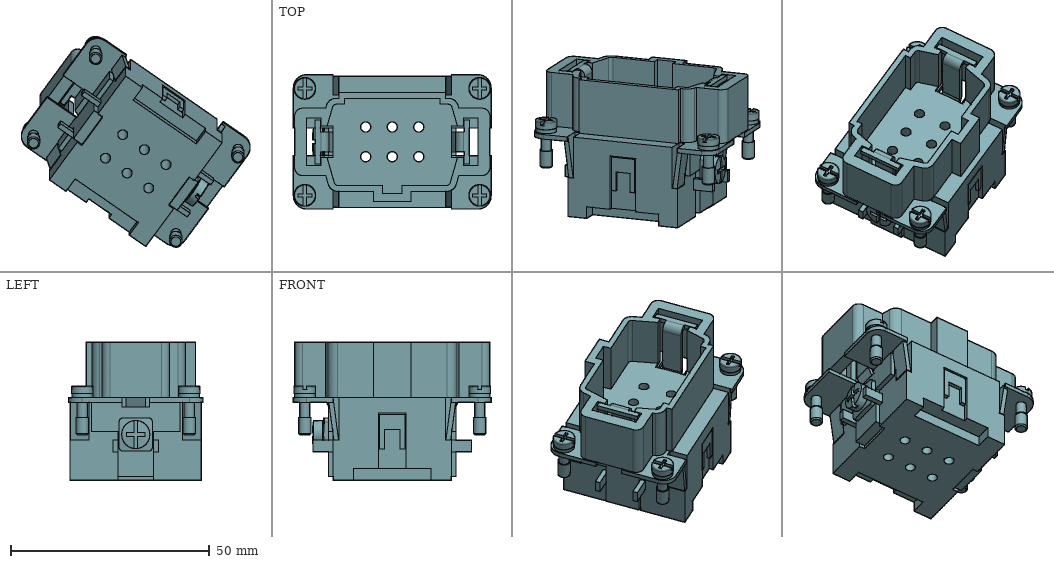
import cadquery as cq
import math

HOOD_TOP = 14.0
FLOOR_Z = 0.5
FLANGE_BOTTOM = -1.2
BODY_BOTTOM = -20.9

FLANGE_LENGTH = 50.0
FLANGE_WIDTH = 34.0
FLANGE_CORNER_RADIUS = 3.4
BODY_HALF_X = 14.95
BODY_HALF_Y = 16.6
PAD_X = 16.1
PAD_HALF_WIDTH = 11.2
PAD_BAR_BOTTOM = -8.55
STEM_HALF_WIDTH = 4.5
STEM_BOTTOM = -19.9
STEM_GROOVE_DEPTH = 1.5

HOOD_HALF_X = 24.65
HOOD_END_HALF_Y = 8.5
HOOD_END_RADIUS = 2.0
NECK_X = 16.8
WALL_SLANT = 0.287
HOOD_FRONT_Y = -12.5
HOOD_BACK_Y = 12.5
WALL = 1.5
SHOULDER_Y = HOOD_BACK_Y - WALL
SHOULDER_X = 13.5
SHOULDER_RADIUS = 2.5
KEY_HALF_X = 4.7
KEY_Y = -15.1

CAVITY_BACK_Y = HOOD_BACK_Y - WALL
CAVITY_SHOULDER_Y = CAVITY_BACK_Y - WALL
CAVITY_FRONT_Y = HOOD_FRONT_Y + WALL
CAVITY_STEP_X = SHOULDER_X - WALL
CAVITY_END_X = 16.45
CAVITY_END_HALF_Y = 4.0
CAVITY_RADIUS = 1.0
KEYWAY_HALF_X = 2.5
KEYWAY_Y = -13.05

WINDOW_INNER_X = 17.95
WINDOW_OUTER_X = 21.6
WINDOW_HALF_Y = 6.0
VENT_HALF_Y = 3.5
VENT_BOTTOM = -2.35

SPRING_HALF_Y = 2.5
SPRING_THICKNESS = 1.1
SPRING_FACE_X = 16.0
SPRING_NOSE_RADIUS = 2.0
BAR_INNER_X = 18.15
BAR_LENGTH = 11.1
BAR_OUTER_X = 19.5
BAR_HEIGHT = 1.2

CONTACT_COLUMNS = 3
CONTACT_ROWS = 2
CONTACT_DIAMETER = 2.5
CONTACT_PITCH_X = 6.7
CONTACT_PITCH_Y = 7.5

LEG_BOTTOM = -10.7
LEG_INNER_Y = 11.85
POCKET_X = 13.4
LEG_THICKNESS = 1.2
LEG_LEAN = 1.4
LEG_OUTER_Y = 16.45

RECESS_HALF_X = 3.5
RECESS_TOP = -3.9
RECESS_DEPTH = 1.1
CATCH_GAP = 0.32
CATCH_BOTTOM = -12.95
CATCH_HEIGHT = 0.9
CATCH_SLOT_HALF_X = 1.95
CATCH_SLOT_TOP = -8.0
CHANNEL_HALF_X = 9.8
CHANNEL_TOP = -17.85
CHANNEL_DEPTH = 4.0

LUG_TIP_X = 20.05
LUG_OUTER_Y = 5.75
LUG_TOP = -10.7
LUG_BOTTOM = -13.65

SCREW_X = 22.07
SCREW_Y = 13.5
HEAD_DIAMETER = 5.5
HEAD_TOP = 2.95
HEAD_EDGE_RADIUS = 0.2
WASHER_DIAMETER = 5.3
WASHER_HEIGHT = 1.0
SHANK_DIAMETER = 2.6
THREAD_DIAMETER = 3.15
THREAD_TOP = -4.95
THREAD_END = -9.4
THREAD_CHAMFER = 0.35
DRIVE_DEPTH = 0.9
DRIVE_SLOT_WIDTH = 0.88
DRIVE_CROSS_LENGTH = 3.5
DRIVE_CROSS_WIDTH = 0.75

EARTH_Z = -9.3
EARTH_PLATE_SIZE = 8.4
EARTH_PLATE_RADIUS = 1.0
EARTH_PLATE_THICKNESS = 1.5
EARTH_PLATE_DOME_RADIUS = 30.0
EARTH_SHANK_DIAMETER = 2.4
EARTH_HEAD_DIAMETER = 7.1
EARTH_RIM_HEIGHT = 2.3
EARTH_HEAD_HEIGHT = 2.6
EARTH_DRIVE_DEPTH = 1.4
EARTH_SLOT_WIDTH = 0.95
EARTH_CROSS_LENGTH = 4.7
EARTH_CROSS_WIDTH = 1.0

ENDS = (-1, 1)
SIDES = (-1, 1)


def block(x0, x1, y0, y1, z0, z1):
    """Box between two opposite corners; each pair may come in either order."""
    size = (abs(x1 - x0), abs(y1 - y0), abs(z1 - z0))
    return cq.Workplane("XY").box(*size).translate(((x0 + x1) / 2, (y0 + y1) / 2, (z0 + z1) / 2))


def rod(diameter, z0, z1):
    """Upright cylinder on the Z axis."""
    return cq.Workplane("XY").workplane(offset=z0).circle(diameter / 2).extrude(z1 - z0)


def at_each_end(shape):
    """The +X shape together with its mirror image at the -X end."""
    return shape.union(shape.mirror("YZ"))


def prism(points, z0, z1):
    """Closed polygon in XY, raised from z0 to z1."""
    return cq.Workplane("XY").workplane(offset=z0).polyline(points).close().extrude(z1 - z0)


def mirrored_outline(right_half):
    """Full outline from its +X half, listed from back to front."""
    return right_half + [(-x, y) for x, y in reversed(right_half)]


def make_flange():
    """Two end plates with rounded corners, one on each side of the body."""
    half_x = FLANGE_LENGTH / 2
    half_y = FLANGE_WIDTH / 2
    flange = block(-half_x, half_x, -half_y, half_y, FLANGE_BOTTOM, 0)
    flange = flange.edges("|Z").fillet(FLANGE_CORNER_RADIUS)
    gap = block(-BODY_HALF_X, BODY_HALF_X, -half_y, half_y, FLANGE_BOTTOM, 0)
    return flange.cut(gap)


def make_body():
    """Lower body with its end pads, lugs, corner pockets and side catches."""
    body = block(-BODY_HALF_X, BODY_HALF_X, -BODY_HALF_Y, BODY_HALF_Y, BODY_BOTTOM, 0)
    pad_bar = block(-PAD_X, PAD_X, -PAD_HALF_WIDTH, PAD_HALF_WIDTH, PAD_BAR_BOTTOM, 0)
    stem = block(-PAD_X, PAD_X, -STEM_HALF_WIDTH, STEM_HALF_WIDTH, STEM_BOTTOM, 0)
    body = body.union(pad_bar).union(stem)
    for end in ENDS:
        groove = block(end * (BODY_HALF_X - STEM_GROOVE_DEPTH), end * BODY_HALF_X,
                       -STEM_HALF_WIDTH, STEM_HALF_WIDTH, BODY_BOTTOM, STEM_BOTTOM)
        body = body.cut(groove)
        for side in SIDES:
            pocket = block(end * POCKET_X, end * BODY_HALF_X,
                           side * LEG_INNER_Y, side * BODY_HALF_Y, LEG_BOTTOM, 0)
            body = body.cut(pocket)
            lug = block(end * BODY_HALF_X, end * LUG_TIP_X,
                        side * STEM_HALF_WIDTH, side * LUG_OUTER_Y, LUG_BOTTOM, LUG_TOP)
            body = body.union(lug)
    for side in SIDES:
        channel = block(-CHANNEL_HALF_X, CHANNEL_HALF_X, side * (BODY_HALF_Y - CHANNEL_DEPTH),
                        side * BODY_HALF_Y, BODY_BOTTOM, CHANNEL_TOP)
        body = add_side_catch(body.cut(channel), side)
    return body


def add_side_catch(body, side):
    """Sink a recess into a long face and raise a U-shaped catch inside it."""
    face_y = side * BODY_HALF_Y
    floor_y = side * (BODY_HALF_Y - RECESS_DEPTH)
    catch_y = floor_y + side * CATCH_HEIGHT
    catch_half_x = RECESS_HALF_X - CATCH_GAP
    recess = block(-RECESS_HALF_X, RECESS_HALF_X, floor_y, face_y, CHANNEL_TOP, RECESS_TOP)
    catch = block(-catch_half_x, catch_half_x, floor_y, catch_y, CATCH_BOTTOM, RECESS_TOP - CATCH_GAP)
    slot = block(-CATCH_SLOT_HALF_X, CATCH_SLOT_HALF_X, floor_y, catch_y, CATCH_BOTTOM, CATCH_SLOT_TOP)
    return body.cut(recess).union(catch.cut(slot))


def make_legs():
    """Four slanted legs, bent down from the flange into the corner pockets."""
    top_x = BODY_HALF_X
    bottom_x = top_x - LEG_LEAN
    profile = [
        (top_x, 0),
        (top_x + LEG_THICKNESS, 0),
        (bottom_x + LEG_THICKNESS, LEG_BOTTOM),
        (bottom_x, LEG_BOTTOM),
    ]
    width = LEG_OUTER_Y - LEG_INNER_Y
    leg = cq.Workplane("XZ", origin=(0, LEG_OUTER_Y, 0)).polyline(profile).close().extrude(width)
    pair = leg.union(leg.mirror("XZ"))
    return at_each_end(pair)


def make_hood():
    """Solid hood: a core with slanted shoulders, end boxes and a front key."""
    front_x = NECK_X + WALL_SLANT * (HOOD_FRONT_Y + HOOD_END_HALF_Y)
    shoulder_x = NECK_X + WALL_SLANT * (HOOD_END_HALF_Y - SHOULDER_Y)
    half = [
        (shoulder_x, SHOULDER_Y),
        (NECK_X, HOOD_END_HALF_Y),
        (NECK_X, -HOOD_END_HALF_Y),
        (front_x, HOOD_FRONT_Y),
    ]
    core = prism(mirrored_outline(half), 0, HOOD_TOP)
    core = core.edges("|Z and >Y").fillet(SHOULDER_RADIUS)
    core = core.edges("|Z and <Y").fillet(SHOULDER_RADIUS)
    ends = block(-HOOD_HALF_X, HOOD_HALF_X, -HOOD_END_HALF_Y, HOOD_END_HALF_Y, 0, HOOD_TOP)
    ends = ends.edges("|Z").fillet(HOOD_END_RADIUS)
    back = block(-SHOULDER_X, SHOULDER_X, 0, HOOD_BACK_Y, 0, HOOD_TOP)
    key = block(-KEY_HALF_X, KEY_HALF_X, KEY_Y, 0, 0, HOOD_TOP)
    return core.union(ends).union(back).union(key)


def make_cavity():
    """Space inside the hood, above the contact floor."""
    front_x = CAVITY_END_X + WALL_SLANT * (CAVITY_FRONT_Y + CAVITY_END_HALF_Y)
    shoulder_x = CAVITY_END_X + WALL_SLANT * (CAVITY_END_HALF_Y - CAVITY_SHOULDER_Y)
    half = [
        (shoulder_x, CAVITY_SHOULDER_Y),
        (CAVITY_END_X, CAVITY_END_HALF_Y),
        (CAVITY_END_X, -CAVITY_END_HALF_Y),
        (front_x, CAVITY_FRONT_Y),
    ]
    cavity = prism(mirrored_outline(half), FLOOR_Z, HOOD_TOP)
    cavity = cavity.edges("|Z and >Y").fillet(CAVITY_RADIUS)
    cavity = cavity.edges("|Z and <Y").fillet(CAVITY_RADIUS)
    back = block(-CAVITY_STEP_X, CAVITY_STEP_X, 0, CAVITY_BACK_Y, FLOOR_Z, HOOD_TOP)
    keyway = block(-KEYWAY_HALF_X, KEYWAY_HALF_X, KEYWAY_Y, 0, FLOOR_Z, HOOD_TOP)
    return cavity.union(back).union(keyway)


def make_windows():
    """Latch window at each end, opening to the cavity and down past the flange."""
    window = block(WINDOW_INNER_X, WINDOW_OUTER_X, -WINDOW_HALF_Y, WINDOW_HALF_Y, 0, HOOD_TOP)
    doorway = block(BODY_HALF_X, WINDOW_INNER_X, -CAVITY_END_HALF_Y, CAVITY_END_HALF_Y, 0, HOOD_TOP)
    vent = block(BODY_HALF_X, FLANGE_LENGTH / 2, -VENT_HALF_Y, VENT_HALF_Y, VENT_BOTTOM, 0)
    return at_each_end(window.union(doorway).union(vent))


def make_springs():
    """Latch springs: a slanted foot on the body, an upright leaf and a rounded nose under a bar."""
    foot_x = BODY_HALF_X
    back_x = SPRING_FACE_X + SPRING_THICKNESS
    bar_bottom = HOOD_TOP - BAR_HEIGHT
    nose_x = SPRING_FACE_X + SPRING_NOSE_RADIUS
    nose_z = HOOD_TOP - SPRING_NOSE_RADIUS
    diagonal = SPRING_NOSE_RADIUS * math.sqrt(0.5)
    leaf = (
        cq.Workplane("XZ", origin=(0, SPRING_HALF_Y, 0))
        .moveTo(foot_x, VENT_BOTTOM)
        .lineTo(SPRING_FACE_X, 0)
        .lineTo(SPRING_FACE_X, nose_z)
        .threePointArc((nose_x - diagonal, nose_z + diagonal), (nose_x, HOOD_TOP))
        .lineTo(BAR_OUTER_X, HOOD_TOP)
        .lineTo(BAR_OUTER_X, bar_bottom)
        .lineTo(back_x, bar_bottom)
        .lineTo(back_x, 0)
        .lineTo(foot_x + SPRING_THICKNESS, VENT_BOTTOM)
        .close()
        .extrude(2 * SPRING_HALF_Y)
    )
    bar = block(BAR_INNER_X, BAR_OUTER_X, -BAR_LENGTH / 2, BAR_LENGTH / 2, bar_bottom, HOOD_TOP)
    return at_each_end(leaf.union(bar))


def cut_drive(head, diameter, top, depth, slot_width, cross_length, cross_width):
    """Slot right across a screw head along Y, crossed by a short slot along X."""
    slot = block(-slot_width / 2, slot_width / 2, -diameter / 2, diameter / 2, top - depth, top)
    cross = block(-cross_length / 2, cross_length / 2, -cross_width / 2, cross_width / 2, top - depth, top)
    return head.cut(slot).cut(cross)


def make_screw():
    """Captive mounting screw standing on the flange."""
    head = rod(HEAD_DIAMETER, WASHER_HEIGHT, HEAD_TOP).faces(">Z").edges().fillet(HEAD_EDGE_RADIUS)
    head = cut_drive(head, HEAD_DIAMETER, HEAD_TOP, DRIVE_DEPTH,
                     DRIVE_SLOT_WIDTH, DRIVE_CROSS_LENGTH, DRIVE_CROSS_WIDTH)
    washer = rod(WASHER_DIAMETER, 0, WASHER_HEIGHT)
    shank = rod(SHANK_DIAMETER, THREAD_TOP, WASHER_HEIGHT)
    thread = rod(THREAD_DIAMETER, THREAD_END, THREAD_TOP).faces("<Z").edges().chamfer(THREAD_CHAMFER)
    return head.union(washer).union(shank).union(thread)


def make_earth_terminal():
    """Domed clamp plate and crowned screw, built upright and turned to face -X."""
    seat_z = EARTH_PLATE_THICKNESS
    rim_z = seat_z + EARTH_RIM_HEIGHT
    crown_z = seat_z + EARTH_HEAD_HEIGHT
    plate = cq.Workplane("XY").rect(EARTH_PLATE_SIZE, EARTH_PLATE_SIZE).extrude(seat_z)
    plate = plate.edges("|Z").fillet(EARTH_PLATE_RADIUS)
    dome_center = (0, 0, seat_z - EARTH_PLATE_DOME_RADIUS)
    dome = cq.Workplane("XY").sphere(EARTH_PLATE_DOME_RADIUS).translate(dome_center)
    plate = plate.intersect(dome)
    shank = rod(EARTH_SHANK_DIAMETER, 0, seat_z)
    radius = EARTH_HEAD_DIAMETER / 2
    crown_height = crown_z - rim_z
    crown_radius = (radius ** 2 + crown_height ** 2) / (2 * crown_height)
    half_x = radius / 2
    half_z = crown_z - crown_radius + math.sqrt(crown_radius ** 2 - half_x ** 2)
    head = (
        cq.Workplane("XZ")
        .moveTo(0, seat_z)
        .lineTo(radius, seat_z)
        .lineTo(radius, rim_z)
        .threePointArc((half_x, half_z), (0, crown_z))
        .close()
        .revolve(360, (0, 0, 0), (0, 1, 0))
    )
    head = cut_drive(head, EARTH_HEAD_DIAMETER, crown_z, EARTH_DRIVE_DEPTH,
                     EARTH_SLOT_WIDTH, EARTH_CROSS_LENGTH, EARTH_CROSS_WIDTH)
    terminal = plate.union(shank.union(head))
    terminal = terminal.rotate((0, 0, 0), (0, 0, 1), 90).rotate((0, 0, 0), (0, 1, 0), -90)
    return terminal.translate((-PAD_X, 0, EARTH_Z))


def make_contact_holes():
    """Two rows of contact holes, right through the floor and body."""
    holes = cq.Workplane("XY").workplane(offset=BODY_BOTTOM)
    holes = holes.rarray(CONTACT_PITCH_X, CONTACT_PITCH_Y, CONTACT_COLUMNS, CONTACT_ROWS)
    return holes.circle(CONTACT_DIAMETER / 2).extrude(HOOD_TOP - BODY_BOTTOM)


def build():
    """The complete insert, joined into one solid."""
    part = make_body().union(make_flange()).union(make_hood()).union(make_legs())
    part = part.cut(make_cavity()).cut(make_windows()).cut(make_contact_holes())
    part = part.union(make_springs())
    screw = make_screw()
    for end in ENDS:
        for side in SIDES:
            part = part.union(screw.translate((end * SCREW_X, side * SCREW_Y, 0)))
    return part.union(make_earth_terminal()).solids()


result = build()